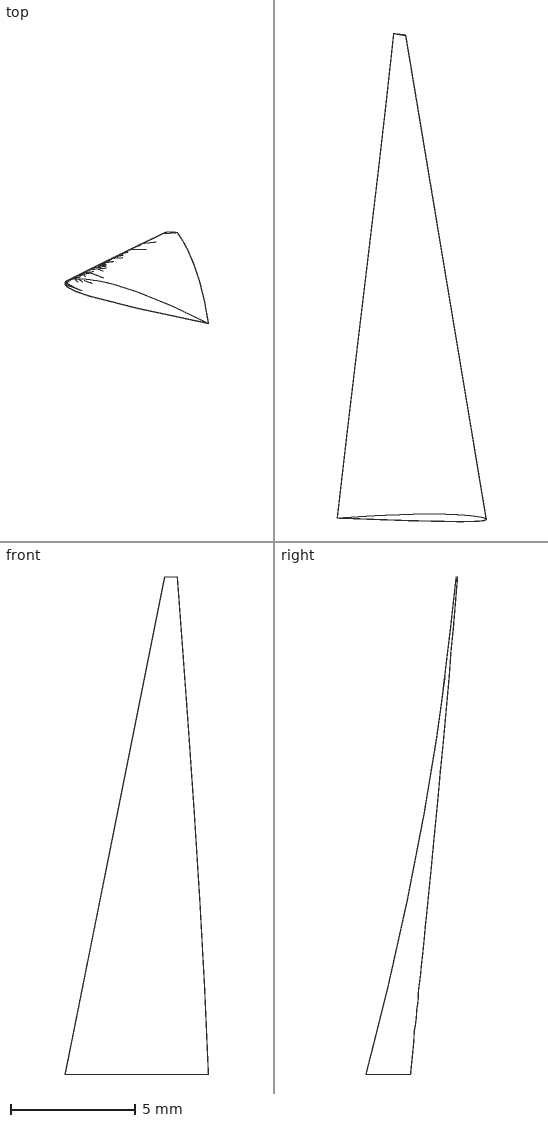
import cadquery as cq
import math

span = 20.0
root_chord = 6.0
tip_chord = 0.52
root_twist = 15.9
tip_twist = -2.0
tip_sweep = 4.0
tip_lean = 2.0

max_camber = 0.02
camber_position = 0.4
thickness = 0.12

station_count = 9
surface_points = 16


def blend(root_value, tip_value, fraction):
    """Straight-line change from root to tip."""
    return root_value + (tip_value - root_value) * fraction


def half_thickness(x):
    """NACA thickness formula, closed to zero at the trailing edge."""
    return 5 * thickness * (
        0.2969 * math.sqrt(x) - 0.1260 * x - 0.3516 * x**2 + 0.2843 * x**3 - 0.1036 * x**4
    )


def camber(x):
    """Height of the mean line, two parabolas meeting at its highest point."""
    p = camber_position
    if x < p:
        return max_camber * (2 * p * x - x**2) / p**2
    return max_camber * (1 - 2 * p + 2 * p * x - x**2) / (1 - p) ** 2


def airfoil_points():
    """Unit-chord points from the trailing edge over the top, round the nose and along the underside."""
    points = []
    for i in range(2 * surface_points):
        angle = math.pi * i / surface_points
        x = (1 + math.cos(angle)) / 2
        side = 1 if i <= surface_points else -1
        points.append((x, camber(x) + side * half_thickness(x)))
    return points


def blade_section(fraction):
    """Airfoil outline, scaled, twisted and placed at a fraction of the span."""
    chord = blend(root_chord, tip_chord, fraction)
    twist = math.radians(blend(root_twist, tip_twist, fraction))
    nose_x = blend(0, tip_sweep, fraction)
    nose_y = blend(0, tip_lean, fraction)
    placed = []
    for x, y in airfoil_points():
        placed.append(cq.Vector(
            nose_x + chord * (x * math.cos(twist) + y * math.sin(twist)),
            nose_y + chord * (y * math.cos(twist) - x * math.sin(twist)),
            span * fraction,
        ))
    outline = cq.Edge.makeSpline(placed + [placed[0]])
    return cq.Wire.assembleEdges([outline])


sections = [blade_section(i / (station_count - 1)) for i in range(station_count)]
result = cq.Workplane("XY").newObject([cq.Solid.makeLoft(sections)])